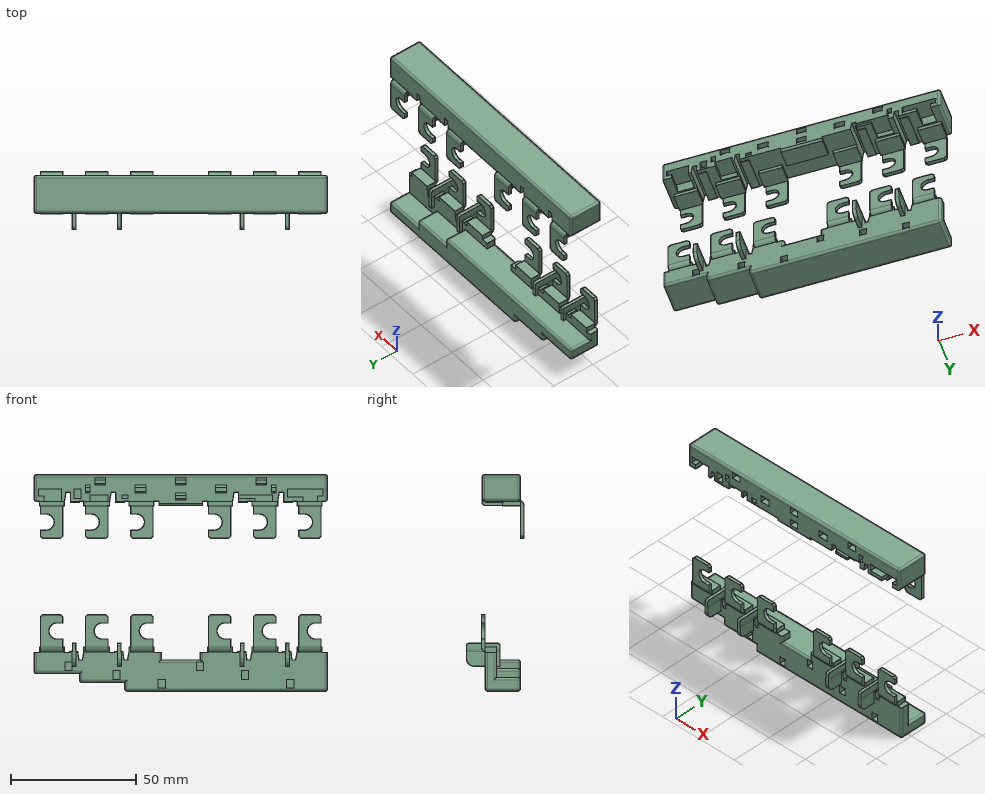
import cadquery as cq
import math

LENGTH = 117.0
HALF_LENGTH = LENGTH / 2
OVERALL_HEIGHT = 86.42
EDGE_RADIUS = 1.0
SIDES = (-1, 1)

TERMINAL_PITCH = 18.0
INNER_TERMINAL_X = 15.5
TERMINALS = [side * (INNER_TERMINAL_X + i * TERMINAL_PITCH) for side in SIDES for i in range(3)]
INNER_SEAT = (10.7, 20.7)
MIDDLE_SEAT = (28.4, 38.75)
OUTER_SEAT = (46.4, 56.35)
SEATS = (INNER_SEAT, MIDDLE_SEAT, OUTER_SEAT)
FORK_WIDTH = 9.0
FORK_THICKNESS = 1.5
FORK_CORNER = 0.9
BEND_RADIUS = 2.15
FORK_SLOT_WIDTH = 6.35
FORK_SLOT_DEPTH = 5.5
FORK_SLOT_INSET = 6.5

INNER_STATION_X = INNER_TERMINAL_X + TERMINAL_PITCH / 2
STATIONS = [side * (INNER_STATION_X + i * TERMINAL_PITCH) for side in SIDES for i in range(2)]
SLIT_NEAR = 1.5
SLIT_WIDTH = 1.75
SLIT_TAPER = 0.55

UPPER_FRONT_Y = -15.2
UPPER_BOTTOM_Z = 75.7
UPPER_SEAT_HEIGHT = 1.75
UPPER_SEAT_FRONT_Y = -7.1
UPPER_FORK_TIP_Z = 60.95
UPPER_SLIT_END_Z = 79.3
PAD_DROP = 0.35
PAD_START = -SLIT_NEAR
PAD_END = 2.1
PAD_FRONT_Y = -13.75
TAB_WIDTH = 17.5
TAB_HEIGHT = 1.65
TAB_CHAMFER = 0.8

POCKET_DEPTH = 7.5
HIGH_POCKET_TOP_Z = 80.7
LOW_POCKET_TOP_Z = 78.25
SHELF_Z = 76.8
END_HOOK_Z = 77.9
END_POCKET_X = 56.65
END_HOOK_X = 54.55
LEFT_END_POCKET_X = -47.5
RIGHT_END_POCKET_X = 42.5
RIGHT_END_SHELF_X = 48.65
RIGHT_END_SHELF_Z = 77.45
LEFT_LOW_POCKET = (-36.2, -29.1)
RIGHT_LOW_POCKET = (INNER_STATION_X - SLIT_NEAR, 36.6)
RIGHT_LOW_SHELF_X = 29.55
TALL_POCKET = (-42.6, -39.75)
SMALL_POCKET = (-23.5, -21.0)

WINDOW_DEPTH = 3.0
RIDGE_HEIGHT = 1.0
RIDGE_LOWER_SLOPE = 0.6
RIDGE_UPPER_SLOPE = 0.9
TOP_ROW = (82.3, 85.1)
MIDDLE_ROW = (79.15, 82.15)
BOTTOM_ROW = (76.3, 79.0)
WIDE_WINDOW = 4.0
WIDER_WINDOW = 4.4
NARROW_WINDOW = 1.9
WINDOWS = [(0, WIDE_WINDOW, TOP_ROW), (0, WIDE_WINDOW, BOTTOM_ROW)]
for mirror in SIDES:
    WINDOWS += [
        (mirror * 16.1, WIDER_WINDOW, MIDDLE_ROW),
        (mirror * 32.1, WIDE_WINDOW, TOP_ROW),
        (mirror * 37.1, NARROW_WINDOW, MIDDLE_ROW),
    ]

LOWER_FRONT_Y = -14.0
LEDGE_Z = 12.55
LOWER_SLIT_NEAR_TAPER = 0.4
WALL_TOP_Z = 15.55
WALL_BACK_Y = -9.5
STEP_HEIGHT = 3.5
END_STEP_LENGTH = 18.15
NOTCH_HALF_WIDTH = 7.75
LOWER_SEAT_TOP_Z = 17.7
LOWER_FORK_TIP_Z = 30.55
LUG_THICKNESS = 1.6
LUG_TOP_THICKNESS = 1.45
LUG_TAPER_BOTTOM_Z = 15.85
LUG_TAPER_TOP_Z = 16.5
LUG_FRONT_Y = -21.5
LUG_BACK_Y = -8.05
LUG_BOTTOM_Z = 9.95
LUG_TOP_Z = 19.2
LUG_HEEL_RADIUS = 3.0
LUG_TOP_RADIUS = 1.0
LUG_PAD_RISE = 0.3
LUG_PAD_START = -1.9
LUG_PAD_END = SLIT_NEAR
HOLE_WIDTH = 2.9
HOLE_DEPTH = 3.0
HOLE_TOP_Z = 11.75
LEFT_HOLES_X = (-46.2, -27.05, -9.05)
RIGHT_HOLES_X = (6.2, 24.2, 42.2)


def block(x_range, y_range, z_range):
    """Box between the given limits, each pair in either order."""
    sizes = [abs(b - a) for a, b in (x_range, y_range, z_range)]
    corner = [min(pair) for pair in (x_range, y_range, z_range)]
    return cq.Workplane("XY").box(*sizes, centered=False).translate(tuple(corner))


def mirrored_range(side, x_range):
    """The x limits as given on the right side, or flipped to the left side."""
    return (side * x_range[0], side * x_range[1])


def fork(center_x, inner_y, outward, root_z, tip_z, opening):
    """Fork blade rising from root_z to tip_z, its slot open to one side and its root bent into the seat."""
    up = 1 if tip_z > root_z else -1
    half = FORK_WIDTH / 2
    x_range = (center_x - half, center_x + half)
    outer_y = inner_y + outward * FORK_THICKNESS
    blade = block(x_range, (inner_y, outer_y), (root_z, tip_z))
    blade = blade.edges("|Y and " + (">Z" if up > 0 else "<Z")).chamfer(FORK_CORNER)
    bend = block(
        x_range,
        (outer_y - outward * BEND_RADIUS, outer_y),
        (root_z, root_z + up * BEND_RADIUS),
    )
    bend_quarter = (
        cq.Workplane("YZ", origin=(center_x - half, 0, 0))
        .center(outer_y - outward * BEND_RADIUS, root_z + up * BEND_RADIUS)
        .circle(BEND_RADIUS)
        .extrude(FORK_WIDTH)
    )
    blade = blade.cut(bend).union(bend.intersect(bend_quarter))
    slot_z = tip_z - up * FORK_SLOT_INSET
    radius = FORK_SLOT_WIDTH / 2
    open_x = center_x + opening * half
    round_x = open_x - opening * (FORK_SLOT_DEPTH - radius)
    slot = block((round_x, open_x), (inner_y, outer_y), (slot_z - radius, slot_z + radius))
    round_end = (
        cq.Workplane("XZ", origin=(round_x, max(inner_y, outer_y), slot_z))
        .circle(radius)
        .extrude(FORK_THICKNESS)
    )
    return blade.cut(slot).cut(round_end)


def slit(station, side, mouth_z, end_z, near_taper):
    """Tapered slit through the full width of a bar, on the given side of its station."""
    near = station + side * SLIT_NEAR
    far = near + side * SLIT_WIDTH
    outline = [
        (near, mouth_z),
        (far + side * SLIT_TAPER, mouth_z),
        (far, end_z),
        (near + side * near_taper, end_z),
    ]
    return cq.Workplane("XZ").polyline(outline).close().extrude(-UPPER_FRONT_Y)


def upper_shell():
    shell = block(
        (-HALF_LENGTH, HALF_LENGTH), (UPPER_FRONT_Y, 0), (UPPER_BOTTOM_Z, OVERALL_HEIGHT)
    )
    return shell.edges("|Z or >Z or (<Z and |Y)").fillet(EDGE_RADIUS)


def front_pocket(x_range, z_range):
    return block(x_range, (UPPER_FRONT_Y, UPPER_FRONT_Y + POCKET_DEPTH), z_range)


def upper_pockets():
    """Front-wall pockets; those reaching the underside leave a hook or a shelf at their ends."""
    floor_z = UPPER_BOTTOM_Z
    return [
        front_pocket((-END_POCKET_X, LEFT_END_POCKET_X), (END_HOOK_Z, HIGH_POCKET_TOP_Z)),
        front_pocket((-END_HOOK_X, LEFT_END_POCKET_X), (floor_z, END_HOOK_Z)),
        front_pocket((RIGHT_END_POCKET_X, END_POCKET_X), (END_HOOK_Z, HIGH_POCKET_TOP_Z)),
        front_pocket((RIGHT_END_POCKET_X, END_HOOK_X), (RIGHT_END_SHELF_Z, END_HOOK_Z)),
        front_pocket((RIGHT_END_SHELF_X, END_HOOK_X), (floor_z, RIGHT_END_SHELF_Z)),
        front_pocket(LEFT_LOW_POCKET, (floor_z, LOW_POCKET_TOP_Z)),
        front_pocket(RIGHT_LOW_POCKET, (SHELF_Z, LOW_POCKET_TOP_Z)),
        front_pocket((RIGHT_LOW_SHELF_X, RIGHT_LOW_POCKET[1]), (floor_z, SHELF_Z)),
        front_pocket(TALL_POCKET, (SHELF_Z, HIGH_POCKET_TOP_Z)),
        front_pocket(SMALL_POCKET, (SHELF_Z, LOW_POCKET_TOP_Z)),
    ]


def snap_window(center_x, width, z_range):
    """Window whose back carries a ridge with sloped upper and lower flanks."""
    bottom_z, top_z = z_range
    back_y = UPPER_FRONT_Y + WINDOW_DEPTH
    ridge_y = back_y - RIDGE_HEIGHT
    outline = [
        (UPPER_FRONT_Y, bottom_z),
        (back_y, bottom_z),
        (ridge_y, bottom_z + RIDGE_LOWER_SLOPE),
        (ridge_y, top_z - RIDGE_UPPER_SLOPE),
        (back_y, top_z),
        (UPPER_FRONT_Y, top_z),
    ]
    left_end = cq.Workplane("YZ", origin=(center_x - width / 2, 0, 0))
    return left_end.polyline(outline).close().extrude(width)


def make_upper_bar():
    bar = upper_shell()
    for station in STATIONS:
        pad_x = (station + PAD_START, station + PAD_END)
        pad_z = (UPPER_BOTTOM_Z - PAD_DROP, UPPER_BOTTOM_Z)
        bar = bar.union(block(pad_x, (PAD_FRONT_Y, 0), pad_z))
    seat_z = UPPER_BOTTOM_Z - UPPER_SEAT_HEIGHT
    for side in SIDES:
        for seat in SEATS:
            x_range = mirrored_range(side, seat)
            bar = bar.union(block(x_range, (UPPER_SEAT_FRONT_Y, 0), (seat_z, UPPER_BOTTOM_Z)))
    tab = block(
        (-TAB_WIDTH / 2, TAB_WIDTH / 2),
        (UPPER_FRONT_Y, UPPER_SEAT_FRONT_Y),
        (UPPER_BOTTOM_Z - TAB_HEIGHT, UPPER_BOTTOM_Z),
    )
    bar = bar.union(tab.edges("<Z and <Y").chamfer(TAB_CHAMFER))
    for station in STATIONS:
        bar = bar.cut(slit(station, -1, UPPER_BOTTOM_Z, UPPER_SLIT_END_Z, 0))
    for pocket in upper_pockets():
        bar = bar.cut(pocket)
    for window in WINDOWS:
        bar = bar.cut(snap_window(*window))
    fork_root_z = seat_z + BEND_RADIUS
    for x in TERMINALS:
        bar = bar.union(fork(x, 0, 1, fork_root_z, UPPER_FORK_TIP_Z, -1))
    return bar


def lower_base():
    """Bar with rounded edges, its underside stepped at the left end and its ledge at the right end."""
    outer_step_x = HALF_LENGTH - END_STEP_LENGTH
    inner_step_x = outer_step_x - TERMINAL_PITCH
    outline = [
        (-HALF_LENGTH, LEDGE_Z),
        (-HALF_LENGTH, 2 * STEP_HEIGHT),
        (-outer_step_x, 2 * STEP_HEIGHT),
        (-outer_step_x, STEP_HEIGHT),
        (-inner_step_x, STEP_HEIGHT),
        (-inner_step_x, 0),
        (HALF_LENGTH, 0),
        (HALF_LENGTH, LEDGE_Z - 2 * STEP_HEIGHT),
        (outer_step_x, LEDGE_Z - 2 * STEP_HEIGHT),
        (outer_step_x, LEDGE_Z - STEP_HEIGHT),
        (inner_step_x, LEDGE_Z - STEP_HEIGHT),
        (inner_step_x, LEDGE_Z),
    ]
    base = cq.Workplane("XZ").polyline(outline).close().extrude(-LOWER_FRONT_Y)
    step_corners = [
        (-outer_step_x, 2 * STEP_HEIGHT),
        (-inner_step_x, STEP_HEIGHT),
        (outer_step_x, LEDGE_Z - 2 * STEP_HEIGHT),
        (inner_step_x, LEDGE_Z - STEP_HEIGHT),
    ]

    def is_outer(edge):
        middle = edge.Center()
        return all(math.dist((middle.x, middle.z), corner) > EDGE_RADIUS for corner in step_corners)

    return base.edges().filter(is_outer).fillet(EDGE_RADIUS)


def front_wall(side):
    """One half of the front wall above the ledge, with rounded ends beside the central notch."""
    ledge_drop = 2 * STEP_HEIGHT if side > 0 else 0
    base_overlap_z = LEDGE_Z - ledge_drop - EDGE_RADIUS
    x_range = (side * NOTCH_HALF_WIDTH, side * HALF_LENGTH)
    wall = block(x_range, (LOWER_FRONT_Y, WALL_BACK_Y), (base_overlap_z, WALL_TOP_Z))
    outer_end = ">X" if side > 0 else "<X"
    return wall.edges(f"|Z and (<Y or {outer_end})").fillet(EDGE_RADIUS)


def lug(station):
    """Upright plate crossing the front wall, slimmer at the top and with a rounded heel at its front."""
    right_side = [
        (LUG_THICKNESS / 2, LUG_BOTTOM_Z),
        (LUG_THICKNESS / 2, LUG_TAPER_BOTTOM_Z),
        (LUG_TOP_THICKNESS / 2, LUG_TAPER_TOP_Z),
        (LUG_TOP_THICKNESS / 2, LUG_TOP_Z),
    ]
    left_side = [(-x, z) for x, z in reversed(right_side)]
    plate = (
        cq.Workplane("XZ", origin=(station, LUG_BACK_Y, 0))
        .polyline(right_side + left_side)
        .close()
        .extrude(LUG_BACK_Y - LUG_FRONT_Y)
    )
    plate = plate.edges("|X and <Y and <Z").fillet(LUG_HEEL_RADIUS)
    return plate.edges("|X and >Z").fillet(LUG_TOP_RADIUS)


def lower_holes():
    holes = []
    for left_edges in (LEFT_HOLES_X, RIGHT_HOLES_X):
        for level, left in enumerate(left_edges):
            top = HOLE_TOP_Z - level * STEP_HEIGHT
            y_range = (LOWER_FRONT_Y, LOWER_FRONT_Y + HOLE_DEPTH)
            holes.append(block((left, left + HOLE_WIDTH), y_range, (top - STEP_HEIGHT, top)))
    return holes


def make_lower_bar():
    bar = lower_base()
    wall_y = (LOWER_FRONT_Y, WALL_BACK_Y)
    for side in SIDES:
        bar = bar.union(front_wall(side))
        for seat in SEATS:
            x_range = mirrored_range(side, seat)
            bar = bar.union(block(x_range, wall_y, (WALL_TOP_Z, LOWER_SEAT_TOP_Z)))
    for station in STATIONS:
        pad_x = (station + LUG_PAD_START, station + LUG_PAD_END)
        bar = bar.union(block(pad_x, wall_y, (WALL_TOP_Z, WALL_TOP_Z + LUG_PAD_RISE)))
        bar = bar.cut(slit(station, 1, WALL_TOP_Z, LEDGE_Z, LOWER_SLIT_NEAR_TAPER))
    for hole in lower_holes():
        bar = bar.cut(hole)
    for station in STATIONS:
        bar = bar.union(lug(station))
    fork_root_z = LOWER_SEAT_TOP_Z - BEND_RADIUS
    for x in TERMINALS:
        bar = bar.union(fork(x, LOWER_FRONT_Y, -1, fork_root_z, LOWER_FORK_TIP_Z, 1))
    return bar


upper_bar = make_upper_bar()
lower_bar = make_lower_bar()
result = cq.Compound.makeCompound([upper_bar.val(), lower_bar.val()])